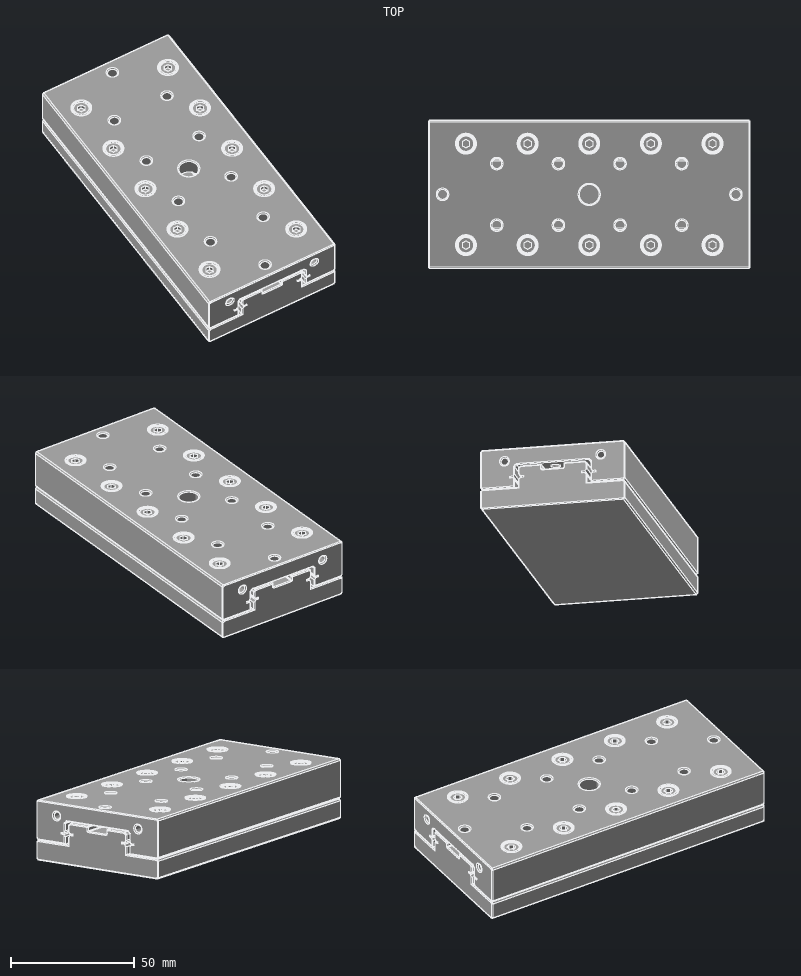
import cadquery as cq
import math

LENGTH = 130.0
WIDTH = 60.0
HEIGHT = 25.0
HALF_WIDTH = WIDTH / 2
EDGE_CHAMFER = 0.6
END_CHAMFER = 0.4

FOOT_HEIGHT = 8.2
RAIL_HALF_WIDTH = 14.3
RAIL_TOP = 17.3
RAIL_CORNER_CHAMFER = 0.8
RECESS_HALF_WIDTH = 4.5
RECESS_FLOOR = 15.2
RECESS_CHAMFER = 0.3

SIDE_GAP = 1.5
TOP_GAP = 0.6
FOOT_GAP = 0.3
CARRIAGE_BOTTOM = FOOT_HEIGHT + FOOT_GAP
CHANNEL_HALF_WIDTH = RAIL_HALF_WIDTH + SIDE_GAP
CHANNEL_TOP = RAIL_TOP + TOP_GAP
CHANNEL_CORNER_CHAMFER = 0.9

RACEWAY_DIAMETER = 3.0
RACEWAY_Y = 15.0
RACEWAY_Z = 12.7
SLIT_LENGTH = 5.8
SLIT_HEIGHT = 0.6

PITCH = 25.0
SCREW_COUNT = 5
SCREW_Y = 20.5
COUNTERBORE_DIAMETER = 7.8
COUNTERBORE_RIM_DIAMETER = 8.5
HEAD_DIAMETER = 7.0
COUNTERBORE_DEPTH = 4.3
HEAD_RECESS = 0.3
HEAD_CHAMFER = 0.4
SOCKET_ACROSS_FLATS = 3.0
SOCKET_DEPTH = 2.0

MOUNT_COUNT = 4
MOUNT_Y = PITCH / 2
MOUNT_DIAMETER = 4.0
MOUNT_RIM_DIAMETER = 5.1
END_HOLE_X = 59.4
END_HOLE_DIAMETER = 4.0
END_HOLE_RIM_DIAMETER = 5.1
CENTRE_DIAMETER = 8.0
CENTRE_RIM_DIAMETER = 9.0
SIDE_HOLE_Y = 20.0
SIDE_HOLE_Z = 19.6
SIDE_HOLE_DIAMETER = 3.0
SIDE_HOLE_RIM_DIAMETER = 4.0
SIDE_HOLE_DEPTH = 7.8
DRILL_POINT_ANGLE = 118.0


def row_positions(count):
    """X places of a row of features, centred on the middle of the part."""
    return [(i - (count - 1) / 2) * PITCH for i in range(count)]


def extrude_profile(half_outline):
    """Mirror a half outline of (y, z) points and extrude it over the full length."""
    mirrored = [(-y, z) for y, z in reversed(half_outline)]
    profile = cq.Workplane("YZ").workplane(offset=-LENGTH / 2)
    body = profile.polyline(half_outline + mirrored).close().extrude(LENGTH)
    return body.faces("<X or >X").chamfer(END_CHAMFER)


def raceway_cutter():
    """Both raceway grooves with their relief slits, over the full length."""
    centres = [(-RACEWAY_Y, RACEWAY_Z), (RACEWAY_Y, RACEWAY_Z)]
    profile = cq.Workplane("YZ").workplane(offset=-LENGTH / 2).pushPoints(centres)
    grooves = profile.circle(RACEWAY_DIAMETER / 2).extrude(LENGTH)
    slits = profile.rect(SLIT_LENGTH, SLIT_HEIGHT).extrude(LENGTH)
    return grooves.union(slits)


def countersunk_cutter(diameter, rim_diameter, depth):
    """Hole cutter going down from z = 0, with a 45 degree chamfer at its mouth."""
    radius = diameter / 2
    rim_radius = rim_diameter / 2
    outline = [
        (0, 0),
        (rim_radius, 0),
        (radius, radius - rim_radius),
        (radius, -depth),
        (0, -depth),
    ]
    return cq.Workplane("XZ").polyline(outline).close().revolve(360, (0, 0), (0, 1))


def screw_cutter():
    """Gap around and above a screw head, together with its hexagon socket."""
    pocket = countersunk_cutter(COUNTERBORE_DIAMETER, COUNTERBORE_RIM_DIAMETER, COUNTERBORE_DEPTH)
    head_top = cq.Workplane("XY").workplane(offset=-HEAD_RECESS)
    head = head_top.circle(HEAD_DIAMETER / 2).extrude(HEAD_RECESS - COUNTERBORE_DEPTH)
    head = head.faces(">Z").chamfer(HEAD_CHAMFER)
    socket = head_top.polygon(6, SOCKET_ACROSS_FLATS, circumscribed=True).extrude(-SOCKET_DEPTH)
    return pocket.cut(head).union(socket)


def side_hole_cutter():
    """Hole cutter along X with a chamfered mouth and a drill point."""
    radius = SIDE_HOLE_DIAMETER / 2
    hole = countersunk_cutter(SIDE_HOLE_DIAMETER, SIDE_HOLE_RIM_DIAMETER, SIDE_HOLE_DEPTH)
    point_length = radius / math.tan(math.radians(DRILL_POINT_ANGLE / 2))
    floor_centre = cq.Vector(0, 0, -SIDE_HOLE_DEPTH)
    point = cq.Solid.makeCone(radius, 0, point_length, floor_centre, cq.Vector(0, 0, -1))
    return hole.union(cq.Workplane(point)).rotate((0, 0, 0), (0, 1, 0), -90)


def make_rail():
    """Fixed rail with a recess along its top."""
    half_outline = [
        (HALF_WIDTH - EDGE_CHAMFER, 0),
        (HALF_WIDTH, EDGE_CHAMFER),
        (HALF_WIDTH, FOOT_HEIGHT - EDGE_CHAMFER),
        (HALF_WIDTH - EDGE_CHAMFER, FOOT_HEIGHT),
        (RAIL_HALF_WIDTH, FOOT_HEIGHT),
        (RAIL_HALF_WIDTH, RAIL_TOP - RAIL_CORNER_CHAMFER),
        (RAIL_HALF_WIDTH - RAIL_CORNER_CHAMFER, RAIL_TOP),
        (RECESS_HALF_WIDTH + RECESS_CHAMFER, RAIL_TOP),
        (RECESS_HALF_WIDTH, RAIL_TOP - RECESS_CHAMFER),
        (RECESS_HALF_WIDTH, RECESS_FLOOR + RECESS_CHAMFER),
        (RECESS_HALF_WIDTH - RECESS_CHAMFER, RECESS_FLOOR),
    ]
    return extrude_profile(half_outline).cut(raceway_cutter())


def cut_screws(body):
    """Two rows of screws, their heads left standing in the counterbores."""
    screw = screw_cutter()
    for x in row_positions(SCREW_COUNT):
        for y in (-SCREW_Y, SCREW_Y):
            body = body.cut(screw.translate((x, y, HEIGHT)))
    return body


def cut_top_holes(body):
    """Mounting holes, centre hole and a hole near each end, all through to the channel."""
    depth = HEIGHT - CHANNEL_TOP
    mount = countersunk_cutter(MOUNT_DIAMETER, MOUNT_RIM_DIAMETER, depth)
    for x in row_positions(MOUNT_COUNT):
        for y in (-MOUNT_Y, MOUNT_Y):
            body = body.cut(mount.translate((x, y, HEIGHT)))

    centre = countersunk_cutter(CENTRE_DIAMETER, CENTRE_RIM_DIAMETER, depth)
    body = body.cut(centre.translate((0, 0, HEIGHT)))

    end_hole = countersunk_cutter(END_HOLE_DIAMETER, END_HOLE_RIM_DIAMETER, depth)
    for x in (-END_HOLE_X, END_HOLE_X):
        body = body.cut(end_hole.translate((x, 0, HEIGHT)))
    return body


def cut_side_holes(body):
    """Blind holes in both end faces."""
    left = side_hole_cutter()
    right = left.mirror("YZ")
    for y in (-SIDE_HOLE_Y, SIDE_HOLE_Y):
        body = body.cut(left.translate((-LENGTH / 2, y, SIDE_HOLE_Z)))
        body = body.cut(right.translate((LENGTH / 2, y, SIDE_HOLE_Z)))
    return body


def make_carriage():
    """Sliding carriage, its channel open downwards."""
    half_outline = [
        (HALF_WIDTH - EDGE_CHAMFER, HEIGHT),
        (HALF_WIDTH, HEIGHT - EDGE_CHAMFER),
        (HALF_WIDTH, CARRIAGE_BOTTOM + EDGE_CHAMFER),
        (HALF_WIDTH - EDGE_CHAMFER, CARRIAGE_BOTTOM),
        (CHANNEL_HALF_WIDTH, CARRIAGE_BOTTOM),
        (CHANNEL_HALF_WIDTH, CHANNEL_TOP - CHANNEL_CORNER_CHAMFER),
        (CHANNEL_HALF_WIDTH - CHANNEL_CORNER_CHAMFER, CHANNEL_TOP),
    ]
    body = extrude_profile(half_outline).cut(raceway_cutter())
    body = cut_screws(body)
    body = cut_top_holes(body)
    return cut_side_holes(body)


rail = make_rail()
carriage = make_carriage()
result = cq.Compound.makeCompound([rail.solids().val(), carriage.solids().val()])